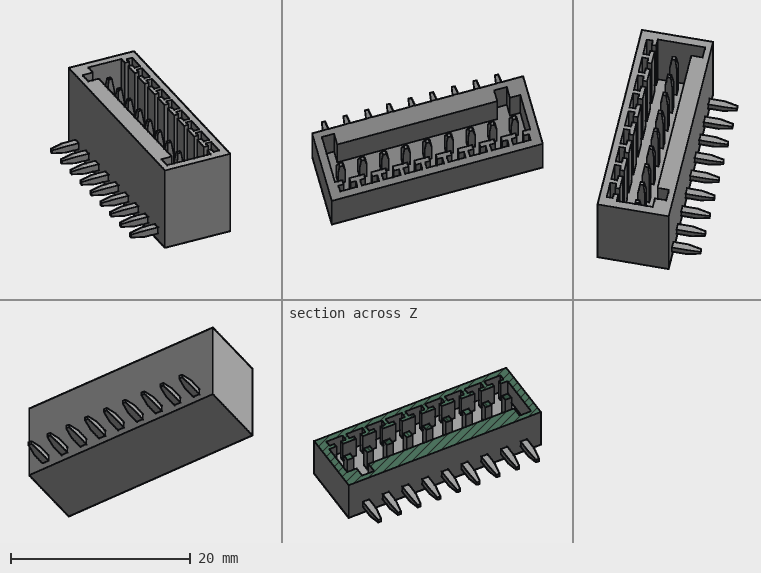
import cadquery as cq

HOUSING_LENGTH = 24.4
HOUSING_DEPTH = 8.1
HOUSING_HEIGHT = 10.1
FLOOR_HEIGHT = 2.5

LEFT_WALL = 0.9
RIGHT_WALL = 0.93
CAVITY_FRONT_Y = 2.0
CAVITY_BACK_Y = 6.1

NOTCH_FRONT_Y = 0.7
LEFT_NOTCH_START_X = 2.1
NOTCH_WIDTH = 1.46
RIGHT_NOTCH_START_X = 22.05

SLOT_NECK_WIDTH = 0.8
SLOT_HEAD_WIDTH = 2.0
SLOT_HEAD_FRONT_Y = 6.61
SLOT_BACK_Y = 7.3

PIN_COUNT = 9
PIN_ROW_LENGTH = 20.0
PIN_WIDTH = 0.8
PIN_TIP_WIDTH = 0.4
PIN_TAPER_LENGTH = 1.5
PIN_Y = 4.0
PIN_Z = 1.3
PIN_FRONT_REACH = 3.2
PIN_TOP_Z = 8.83

pin_pitch = PIN_ROW_LENGTH / (PIN_COUNT - 1)
first_pin_x = (HOUSING_LENGTH - PIN_ROW_LENGTH) / 2
pin_positions = [first_pin_x + i * pin_pitch for i in range(PIN_COUNT)]


def box(x_min, x_max, y_min, y_max, z_min, z_max):
    """Axis-aligned box between two corners."""
    size = (x_max - x_min, y_max - y_min, z_max - z_min)
    return cq.Workplane("XY").box(*size, centered=False).translate((x_min, y_min, z_min))


def pocket(x_min, x_max, y_min, y_max):
    """Cutter reaching from the cavity floor to the top of the housing."""
    return box(x_min, x_max, y_min, y_max, FLOOR_HEIGHT, HOUSING_HEIGHT)


def tapered_tip(plane, base_centre):
    """Square tip that narrows along the plane's normal."""
    return (
        cq.Workplane(plane, origin=base_centre)
        .rect(PIN_WIDTH, PIN_WIDTH)
        .workplane(offset=PIN_TAPER_LENGTH)
        .rect(PIN_TIP_WIDTH, PIN_TIP_WIDTH)
        .loft(ruled=True)
    )


def make_pin(x):
    """Right-angle square pin with a tapered tip at each end."""
    half = PIN_WIDTH / 2
    upright_top = PIN_TOP_Z - PIN_TAPER_LENGTH
    leg_front = PIN_TAPER_LENGTH - PIN_FRONT_REACH
    upright = box(x - half, x + half, PIN_Y - half, PIN_Y + half, PIN_Z - half, upright_top)
    leg = box(x - half, x + half, leg_front, PIN_Y + half, PIN_Z - half, PIN_Z + half)
    top_tip = tapered_tip("XY", (x, PIN_Y, upright_top))
    front_tip = tapered_tip("XZ", (x, leg_front, PIN_Z))
    return upright.union(leg).union(top_tip).union(front_tip).solids()


def cut_cavity(body):
    """Plug cavity with two keying notches in its front wall."""
    cavity_end_x = HOUSING_LENGTH - RIGHT_WALL
    left_notch_end_x = LEFT_NOTCH_START_X + NOTCH_WIDTH
    body = body.cut(pocket(LEFT_WALL, cavity_end_x, CAVITY_FRONT_Y, CAVITY_BACK_Y))
    body = body.cut(pocket(LEFT_NOTCH_START_X, left_notch_end_x, NOTCH_FRONT_Y, CAVITY_FRONT_Y))
    return body.cut(pocket(RIGHT_NOTCH_START_X, cavity_end_x, NOTCH_FRONT_Y, CAVITY_FRONT_Y))


def cut_t_slot(body, x):
    """T-shaped slot in the back wall of the cavity, centred on x."""
    half_neck = SLOT_NECK_WIDTH / 2
    half_head = SLOT_HEAD_WIDTH / 2
    body = body.cut(pocket(x - half_neck, x + half_neck, CAVITY_BACK_Y, SLOT_HEAD_FRONT_Y))
    return body.cut(pocket(x - half_head, x + half_head, SLOT_HEAD_FRONT_Y, SLOT_BACK_Y))


def make_housing(fixed_pin, loose_pins):
    """Open-topped block joined to the fixed pin, with a matching hole for each loose pin."""
    body = box(0, HOUSING_LENGTH, 0, HOUSING_DEPTH, 0, HOUSING_HEIGHT)
    body = cut_cavity(body)
    for x in pin_positions:
        body = cut_t_slot(body, x)
    body = body.union(fixed_pin)
    for pin in loose_pins:
        body = body.cut(pin)
    return body


fixed_pin, *loose_pins = [make_pin(x) for x in pin_positions]
housing = make_housing(fixed_pin, loose_pins).solids()

result = cq.Compound.makeCompound([housing.val(), *[pin.val() for pin in loose_pins]])